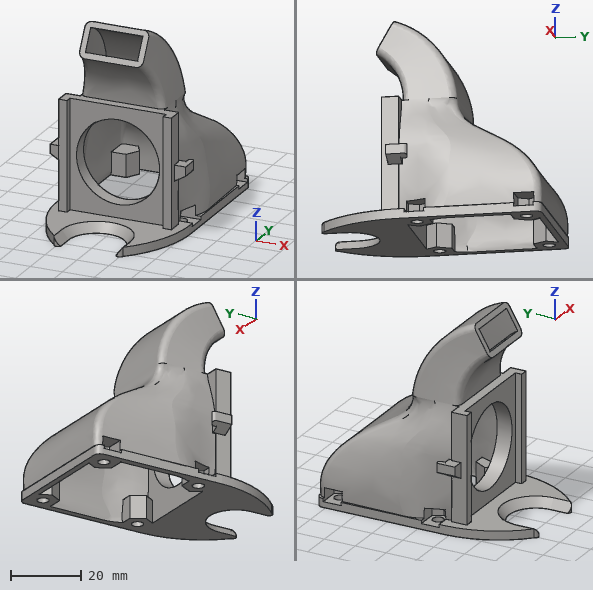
import cadquery as cq
import math


BASE_HALF = 20.98
BASE_BACK = 41.95
BASE_THICK = 2.8
BASE_CORNER = 2.0
TIP_HALF = 10.8
TIP_Y = -23.05
TIP_END = -23.9
ARC_MID = (17.8, -13.45)

SLOT_Y = -17.8
SLOT_TOP_RADIUS = 10.8
SLOT_BOTTOM_RADIUS = 8.6

FRAME_HALF = 17.65
FRAME_TOP = 37.0
FRAME_DEPTH = 2.95
RAIL_DEPTH = 5.0
RAIL_WIDTH = 2.65
FAN_HOLE = 26.0
FAN_Z = (BASE_THICK + FRAME_TOP) / 2

WALL = 1.85
DUCT_CORNER = 2.0
SIDE_Y = 15.15
PIVOT_Y = -17.1
NECK_DEPTH = 15.9
NECK_HALF = 13.2
NOZZLE_REACH = 17.5
NOZZLE_DEPTH = 10.95
DEPTH_EASE = 1.2
NOZZLE_HALF = 10.0
NOZZLE_ANGLE = 60
NECK_STEPS = 4

DUCT_STATIONS = [
    (0, 41.95, 17.4, 20.75, 20.6),
    (7.2, 41.8, 17.4, 20.6, 20.3),
    (12.0, 40.8, 17.4, 20.2, 19.6),
    (17.25, 37.4, 17.25, 19.4, 18.1),
    (22.2, 31.9, 17.1, 18.3, 16.35),
    (26.0, 25.6, 16.5, 17.1, 14.7),
    (29.5, 19.9, 15.5, 15.8, 13.45),
    (32.55, 17.05, 14.35, 14.5, 12.8),
    (FRAME_TOP, NECK_DEPTH, NECK_HALF, NECK_HALF, NECK_HALF),
]

NUT_WIDTH = 5.8
NUT_X = 16.2
NUT_FLOOR = 1.85
NUT_TOP = 5.9
NUT_CENTERS_Y = (5.1, 36.9)
SCREW_HOLE = 3.5
NUT_WALL = 1.2

CLIP_HALF = 21.24
CLIP_FRONT = -3.0
CLIP_BACK = 1.0
CLIP_FINGER = 1.7
CLIP_FINGER_END = 3.0
CLIP_TOP = 21.95
CLIP_EDGE_Z = 19.1
CLIP_ROOT_Z = 17.0


def box(x0, x1, y0, y1, z0, z1):
    return cq.Workplane("XY").box(x1 - x0, y1 - y0, z1 - z0, centered=False).translate((x0, y0, z0))


def both_sides(shape):
    return shape.union(shape.mirror("YZ"))


def make_base():
    mid_x, mid_y = ARC_MID
    plate = (
        cq.Workplane("XY")
        .moveTo(-BASE_HALF, 0)
        .lineTo(-BASE_HALF, BASE_BACK)
        .lineTo(BASE_HALF, BASE_BACK)
        .lineTo(BASE_HALF, 0)
        .threePointArc((mid_x, mid_y), (TIP_HALF, TIP_Y))
        .threePointArc(((TIP_HALF + SLOT_BOTTOM_RADIUS) / 2, TIP_END), (SLOT_BOTTOM_RADIUS, TIP_Y))
        .lineTo(-SLOT_BOTTOM_RADIUS, TIP_Y)
        .threePointArc((-(TIP_HALF + SLOT_BOTTOM_RADIUS) / 2, TIP_END), (-TIP_HALF, TIP_Y))
        .threePointArc((-mid_x, mid_y), (-BASE_HALF, 0))
        .close()
        .extrude(BASE_THICK)
    )
    return plate.edges("|Z and >Y").fillet(BASE_CORNER)


def make_slot():
    cone = cq.Workplane(
        cq.Solid.makeCone(SLOT_BOTTOM_RADIUS, SLOT_TOP_RADIUS, BASE_THICK, cq.Vector(0, SLOT_Y, 0))
    )
    mouth = (
        cq.Workplane("XZ", origin=(0, SLOT_Y, 0))
        .polyline([
            (-SLOT_BOTTOM_RADIUS, 0),
            (SLOT_BOTTOM_RADIUS, 0),
            (SLOT_TOP_RADIUS, BASE_THICK),
            (-SLOT_TOP_RADIUS, BASE_THICK),
        ])
        .close()
        .extrude(SLOT_Y - TIP_END + 0.65)
    )
    return cone.union(mouth)


def duct_section(z, back, front_half, side_half, back_half, inset):
    """Closed horizontal outline: straight front, bowed sides, rounded back corners."""
    front = inset
    back -= inset
    wf, ws, wb = front_half - inset, side_half - inset, back_half - inset
    side_y = min(SIDE_Y, back / 2)
    radius = DUCT_CORNER - inset / 2
    corner = radius * (1 - math.sqrt(0.5))
    lean = cq.Vector(wb - ws, back - radius - side_y, 0)

    def at(x, y):
        return cq.Vector(x, y, z)

    edges = [cq.Edge.makeLine(at(-wf, front), at(wf, front))]
    start = cq.Vector(0, 1, 0)
    edges.append(cq.Edge.makeSpline([at(wf, front), at(ws, side_y)], tangents=[start, lean]))
    edges.append(cq.Edge.makeLine(at(ws, side_y), at(wb, back - radius)))
    edges.append(cq.Edge.makeThreePointArc(
        at(wb, back - radius), at(wb - corner, back - corner), at(wb - radius, back)))
    edges.append(cq.Edge.makeLine(at(wb - radius, back), at(radius - wb, back)))
    edges.append(cq.Edge.makeThreePointArc(
        at(radius - wb, back), at(corner - wb, back - corner), at(-wb, back - radius)))
    edges.append(cq.Edge.makeLine(at(-wb, back - radius), at(-ws, side_y)))
    mirrored_lean = cq.Vector(lean.x, -lean.y, 0)
    edges.append(cq.Edge.makeSpline(
        [at(-ws, side_y), at(-wf, front)], tangents=[mirrored_lean, -start]))
    return cq.Wire.assembleEdges(edges)


def make_body(inset):
    sections = [duct_section(*station, inset) for station in DUCT_STATIONS]
    return cq.Workplane(cq.Solid.makeLoft(sections))


def make_neck(inset):
    """Loft of rectangles that turn about a pivot line in front of the frame top."""
    sections = []
    for step in range(NECK_STEPS + 1):
        share = step / NECK_STEPS
        angle = math.radians(NOZZLE_ANGLE * share)
        depth = NECK_DEPTH + (NOZZLE_DEPTH - NECK_DEPTH) * share**DEPTH_EASE
        half = NECK_HALF + (NOZZLE_HALF - NECK_HALF) * share
        inner_reach = -PIVOT_Y + (NOZZLE_REACH + PIVOT_Y) * share
        reach = inner_reach + depth / 2
        plane = cq.Plane(
            origin=(0, PIVOT_Y + reach * math.cos(angle), FRAME_TOP + reach * math.sin(angle)),
            xDir=(1, 0, 0),
            normal=(0, -math.sin(angle), math.cos(angle)),
        )
        outline = cq.Sketch().rect(2 * (half - inset), depth - 2 * inset)
        if inset == 0:
            outline = outline.vertices().fillet(DUCT_CORNER)
        face = outline.reset().faces().val()
        sections.append(face.outerWire().moved(plane.location))
    return cq.Workplane(cq.Solid.makeLoft(sections))


def make_frame():
    plate = box(-FRAME_HALF, FRAME_HALF, -FRAME_DEPTH, 0, 0, FRAME_TOP)
    rail = box(-FRAME_HALF, RAIL_WIDTH - FRAME_HALF, -RAIL_DEPTH, 0, BASE_THICK, FRAME_TOP)
    return plate.union(both_sides(rail))


def make_clip():
    """Left clip: a block with a sloped underside and a rounded finger pointing back."""
    root = 0.65 - FRAME_HALF
    finger_inner = CLIP_FINGER - CLIP_HALF
    plan = (
        cq.Workplane("XY", origin=(0, 0, CLIP_ROOT_Z))
        .moveTo(-CLIP_HALF, CLIP_FRONT)
        .lineTo(-CLIP_HALF, CLIP_FINGER_END - CLIP_FINGER / 2)
        .threePointArc((-CLIP_HALF + CLIP_FINGER / 2, CLIP_FINGER_END),
                       (finger_inner, CLIP_FINGER_END - CLIP_FINGER / 2))
        .lineTo(finger_inner, CLIP_BACK)
        .lineTo(root, CLIP_BACK)
        .lineTo(root, CLIP_FRONT)
        .close()
        .extrude(CLIP_TOP - CLIP_ROOT_Z)
    )
    profile = (
        cq.Workplane("XZ", origin=(0, CLIP_FINGER_END, 0))
        .polyline([
            (-CLIP_HALF, CLIP_TOP),
            (-CLIP_HALF, CLIP_EDGE_Z),
            (-FRAME_HALF, CLIP_ROOT_Z),
            (root, CLIP_ROOT_Z),
            (root, CLIP_TOP),
        ])
        .close()
        .extrude(CLIP_FINGER_END - CLIP_FRONT)
    )
    return plan.intersect(profile)


def nut_outline(y, grow):
    """Plan of a left nut pocket: open to the side, with a hexagon point inside."""
    half = NUT_WIDTH / 2 + grow
    flat = half / math.sqrt(3)
    outer = -BASE_HALF - 0.65
    return cq.Workplane("XY").polyline([
        (outer, y - half),
        (flat - NUT_X, y - half),
        (2 * flat - NUT_X, y),
        (flat - NUT_X, y + half),
        (outer, y + half),
    ]).close()


def make_nut_housings():
    housings = cq.Workplane("XY")
    for y in NUT_CENTERS_Y:
        housings = housings.union(nut_outline(y, NUT_WALL).extrude(NUT_TOP + NUT_WALL))
    return both_sides(housings)


def make_nut_pockets():
    pockets = cq.Workplane("XY")
    for y in NUT_CENTERS_Y:
        pocket = nut_outline(y, 0).extrude(NUT_TOP - NUT_FLOOR).translate((0, 0, NUT_FLOOR))
        screw = cq.Workplane("XY").center(-NUT_X, y).circle(SCREW_HOLE / 2).extrude(NUT_TOP)
        pockets = pockets.union(pocket).union(screw)
    return both_sides(pockets)


outside = make_base().union(make_body(0)).union(make_neck(0)).union(make_frame())
housings = make_nut_housings().intersect(outside)
fan_hole = (
    cq.Workplane("XZ", origin=(0, -FRAME_DEPTH, 0))
    .center(0, FAN_Z)
    .circle(FAN_HOLE / 2)
    .extrude(-FRAME_DEPTH - 2 * WALL)
)

result = (
    outside
    .cut(make_body(WALL))
    .cut(make_neck(WALL))
    .union(housings)
    .cut(fan_hole)
    .cut(make_slot())
    .union(both_sides(make_clip()))
    .cut(make_nut_pockets())
)